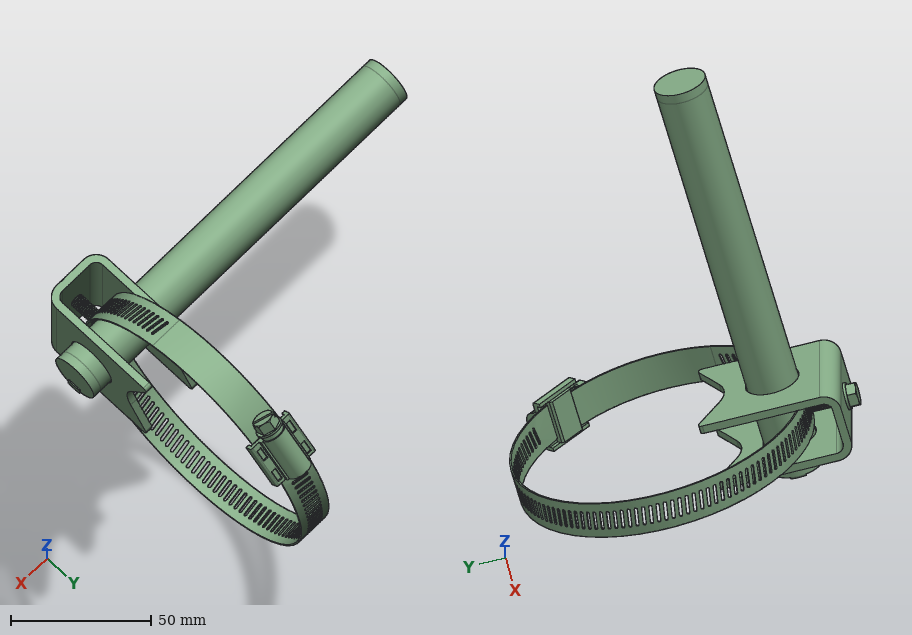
import cadquery as cq
import math


rod_diameter = 19.0
rod_left = -137.8
rod_length = 159.5
rod_cap_length = 3.5
pad_height = 0.5
pad_width = 5.8
pad_top = -6.5

bracket_width = 26.4
bracket_height = 44.0
bracket_front = -23.7
bracket_back = 27.4
bracket_wall = 3.0
bracket_bend_radius = 6.2
rod_hole_diameter = 19.8
notch_bottom_y = 17.8
notch_radius = 13.6
notch_angle = 30.0
tip_radius = 1.5

bolt_flange_diameter = 10.0
bolt_flange_thickness = 1.0
bolt_hex_flats = 8.0
bolt_head_height = 3.5
bolt_thread_diameter = 5.3
bolt_thread_pitch = 0.8
bolt_thread_depth = 0.24

band_radius = 54.5
band_thickness = 0.6
band_width = 14.0
band_inner_radius = band_radius - band_thickness
band_center_y = band_inner_radius - rod_diameter / 2

tail_radius = 51.2
tail_start_angle = 68.5
tail_end_angle = 138.0
loop_end_angle = -236.0

slot_length = 7.4
slot_width = 1.1
slot_tilt = 10.0
slot_pitch_angle = 2.84
first_slot_angle = 64.8
slot_count = 98

housing_angle = 45.2
housing_rear = -7.7
housing_front = 10.9
housing_length = housing_front - housing_rear
housing_width = 19.7
housing_wall = 1.5
housing_top = 2.2
housing_bottom = -1.5
housing_edge_radius = 0.8
channel_ceiling = 0.2
saddle_width = 11.5
screw_axis_v = 3.8
barrel_diameter = 10.0
window_length = 4.8
window_width = 2.0
window_depth = 0.8
window_offset_x = 7.4
window_centers_u = (-4.0, 6.2)
bridge_rear = -3.7
bridge_front = 7.0
bridge_bottom = -2.9
bridge_chamfer = 0.8

screw_tail_diameter = 4.8
screw_tail_length = 2.1
screw_tail_chamfer = 0.6
screw_neck_diameter = 8.8
screw_neck_length = 2.1
screw_flange_diameter = 10.4
screw_flange_thickness = 0.8
screw_hex_flats = 8.0
screw_head_height = 4.2
screw_slot_width = 1.1
screw_slot_depth = 1.6
screw_slot_angle = -30.0

hex_half_angle = math.radians(30)
hex_chamfer_slope = math.tan(hex_half_angle)


def hex_across_corners(flats):
    return flats / math.cos(hex_half_angle)


def chamfered_hex(plane, flats, height, turn):
    """Hexagonal head on a plane, its outer end chamfered down to the flats."""
    corners = hex_across_corners(flats)
    prism = cq.Workplane(plane).transformed(rotate=(0, 0, turn)).polygon(6, corners).extrude(height)
    outer_end = cq.DirectionMinMaxSelector(plane.zDir, True)
    inset = (corners - flats) / 2
    drop = inset * hex_chamfer_slope
    envelope = cq.Workplane(plane).circle(corners / 2).extrude(height).faces(outer_end).chamfer(drop, inset)
    return prism.intersect(envelope)


def make_rod():
    def bar_piece(start, length):
        return cq.Workplane("YZ", origin=(start, 0, 0)).circle(rod_diameter / 2).extrude(length)

    shank_left = rod_left + rod_cap_length
    shank_length = rod_length - 2 * rod_cap_length
    rod = bar_piece(shank_left, shank_length)
    rod = rod.union(bar_piece(rod_left, rod_cap_length), clean=False)
    rod = rod.union(bar_piece(shank_left + shank_length, rod_cap_length), clean=False)
    pad = bar_piece(rod_left + rod_length, pad_height).intersect(
        cq.Workplane("XY", origin=(rod_left + rod_length, 0, pad_top))
        .box(2 * pad_height, pad_width, rod_diameter, centered=(True, True, False))
        .translate((0, 0, -rod_diameter))
    )
    return rod.union(pad, clean=False)


def make_bracket_plate():
    half_width = bracket_width / 2
    half_height = bracket_height / 2
    depth = bracket_back - bracket_front
    middle_y = (bracket_front + bracket_back) / 2
    outer = (
        cq.Workplane("XY")
        .box(bracket_width, depth, bracket_height)
        .translate((0, middle_y, 0))
        .edges("|Z and <Y")
        .fillet(bracket_bend_radius)
    )
    inner = (
        cq.Workplane("XY")
        .box(bracket_width - 2 * bracket_wall, depth, bracket_height)
        .translate((0, middle_y + bracket_wall, 0))
        .edges("|Z and <Y")
        .fillet(bracket_bend_radius - bracket_wall)
    )
    angle = math.radians(notch_angle)
    tangent_z = notch_radius * math.sin(angle)
    tangent_y = notch_bottom_y + notch_radius * (1 - math.cos(angle))
    tip_y = tangent_y + (half_height - tangent_z) * math.tan(angle)
    side = (
        cq.Workplane("YZ")
        .moveTo(bracket_front, -half_height)
        .lineTo(tip_y, -half_height)
        .lineTo(tangent_y, -tangent_z)
        .threePointArc((notch_bottom_y, 0), (tangent_y, tangent_z))
        .lineTo(tip_y, half_height)
        .lineTo(bracket_front, half_height)
        .close()
        .extrude(half_width, both=True)
        .edges("|X and >Y")
        .fillet(tip_radius)
    )
    rod_hole = cq.Workplane("YZ").circle(rod_hole_diameter / 2).extrude(half_width, both=True)
    return outer.cut(inner).intersect(side).cut(rod_hole)


def make_bolt():
    web = cq.Plane((0, bracket_front, 0), (1, 0, 0), (0, -1, 0))
    head_plane = cq.Plane((0, bracket_front - bolt_flange_thickness, 0), (1, 0, 0), (0, -1, 0))
    flange = cq.Workplane(web).circle(bolt_flange_diameter / 2).extrude(bolt_flange_thickness)
    head = chamfered_hex(head_plane, bolt_hex_flats, bolt_head_height, 0)

    inner_face = bracket_front + bracket_wall
    tip = band_center_y - band_radius
    crest = bolt_thread_diameter / 2
    root = crest - bolt_thread_depth
    turns = math.floor((tip - inner_face) / bolt_thread_pitch)
    profile = cq.Workplane("XY").moveTo(0, bracket_front).lineTo(root, bracket_front)
    for turn in range(turns):
        start = inner_face + turn * bolt_thread_pitch
        profile = profile.lineTo(root, start).lineTo(crest, start + bolt_thread_pitch / 2)
    profile = profile.lineTo(root, inner_face + turns * bolt_thread_pitch).lineTo(root, tip).lineTo(0, tip)
    shank = profile.close().revolve(360, (0, 0, 0), (0, 1, 0))
    return flange.union(head).union(shank)


def band_point(radius, angle, center):
    turn = math.radians(angle)
    return center[0] - radius * math.cos(turn), center[1] + radius * math.sin(turn)


def band_strip(outer_radius, start_angle, end_angle, center):
    """Curved strip of the band about a centre given as (y, z)."""
    inner_radius = outer_radius - band_thickness
    middle_angle = (start_angle + end_angle) / 2
    return (
        cq.Workplane("YZ")
        .moveTo(*band_point(outer_radius, start_angle, center))
        .threePointArc(
            band_point(outer_radius, middle_angle, center),
            band_point(outer_radius, end_angle, center),
        )
        .lineTo(*band_point(inner_radius, end_angle, center))
        .threePointArc(
            band_point(inner_radius, middle_angle, center),
            band_point(inner_radius, start_angle, center),
        )
        .close()
        .extrude(band_width / 2, both=True)
    )


def slot_cutter(angle):
    turn = math.radians(angle)
    radial = (0, -math.cos(turn), math.sin(turn))
    plane = cq.Plane((0, band_center_y, 0), (1, 0, 0), radial)
    return (
        cq.Workplane(plane)
        .workplane(offset=band_inner_radius - band_thickness)
        .slot2D(slot_length, slot_width, -slot_tilt)
        .extrude(3 * band_thickness)
        .val()
    )


def make_band():
    center = (band_center_y, 0)
    loop = band_strip(band_radius, tail_start_angle, loop_end_angle, center)
    tail_center = band_point(band_radius - tail_radius, tail_start_angle, center)
    tail = band_strip(tail_radius, tail_start_angle, tail_end_angle, tail_center)
    cutters = [slot_cutter(first_slot_angle - i * slot_pitch_angle) for i in range(slot_count)]
    return cq.Workplane(loop.val().cut(*cutters)).union(tail)


def housing_plane(u):
    """Plane across the screw at the distance u, local x along X and local y along v."""
    turn = math.radians(housing_angle)
    along = cq.Vector(0, -math.sin(turn), math.cos(turn))
    outward = cq.Vector(0, math.cos(turn), math.sin(turn))
    base = cq.Vector(0, band_center_y, 0) + outward * (band_radius - band_thickness / 2)
    return cq.Plane(base + along * u, cq.Vector(1, 0, 0), along)


def housing_block(width, bottom, top, rear, front, x=0):
    return (
        cq.Workplane(housing_plane(rear))
        .center(x, (bottom + top) / 2)
        .rect(width, top - bottom)
        .extrude(front - rear)
    )


def make_housing():
    long_edges = cq.selectors.ParallelDirSelector(housing_plane(0).zDir)
    outward = housing_plane(0).yDir
    body = housing_block(housing_width, housing_bottom, housing_top, housing_rear, housing_front)
    upper_face = cq.DirectionMinMaxSelector(outward, True)
    body = body.faces(upper_face).edges(long_edges).fillet(housing_edge_radius)
    inner_width = housing_width - 2 * housing_wall
    channel = housing_block(inner_width, bridge_bottom, channel_ceiling, housing_rear, housing_front)
    body = body.cut(channel)
    for u in window_centers_u:
        for side in (-1, 1):
            rear = u - window_length / 2
            body = body.cut(housing_block(
                window_width, housing_top - window_depth, housing_top,
                rear, rear + window_length, side * window_offset_x,
            ))
    saddle = housing_block(saddle_width, housing_top, screw_axis_v, housing_rear, housing_front)
    barrel = (
        cq.Workplane(housing_plane(housing_rear))
        .center(0, screw_axis_v)
        .circle(barrel_diameter / 2)
        .extrude(housing_length)
    )
    barrel = barrel.cut(channel)
    bridge = housing_block(inner_width, bridge_bottom, channel_ceiling, bridge_rear, bridge_front)
    cross_edges = cq.selectors.ParallelDirSelector(cq.Vector(1, 0, 0))
    lower_face = cq.DirectionMinMaxSelector(outward, False)
    bridge = bridge.faces(lower_face).edges(cross_edges).chamfer(bridge_chamfer)
    return body.union(saddle).union(barrel).union(bridge)


def screw_plane(u):
    plane = housing_plane(u)
    return cq.Plane(plane.toWorldCoords((0, screw_axis_v, 0)), plane.xDir, plane.zDir)


def make_worm_screw():
    flange_u = housing_front + screw_neck_length
    head_u = flange_u + screw_flange_thickness
    end_u = head_u + screw_head_height
    tail = (
        cq.Workplane(screw_plane(housing_rear))
        .circle(screw_tail_diameter / 2)
        .extrude(-screw_tail_length)
        .faces(cq.DirectionMinMaxSelector(housing_plane(0).zDir, False))
        .chamfer(screw_tail_chamfer)
    )
    neck = cq.Workplane(screw_plane(housing_front)).circle(screw_neck_diameter / 2).extrude(screw_neck_length)
    flange = (
        cq.Workplane(screw_plane(flange_u))
        .circle(screw_flange_diameter / 2)
        .extrude(screw_flange_thickness)
    )
    head = chamfered_hex(screw_plane(head_u), screw_hex_flats, screw_head_height, 90)
    slot = (
        cq.Workplane(screw_plane(end_u))
        .transformed(rotate=(0, 0, screw_slot_angle))
        .rect(2 * screw_hex_flats, screw_slot_width)
        .extrude(-screw_slot_depth)
    )
    return tail.union(neck).union(flange).union(head.cut(slot))


rod = make_rod()
bracket = make_bracket_plate().union(make_bolt())
hose_clamp = make_band().union(make_housing()).union(make_worm_screw())

result = cq.Compound.makeCompound([
    *rod.solids().vals(),
    *bracket.solids().vals(),
    *hose_clamp.solids().vals(),
])